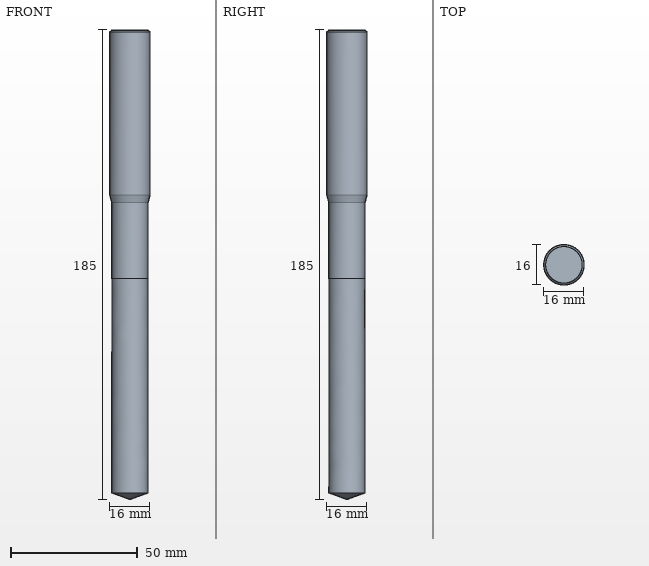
import cadquery as cq
import math

overall_length = 185.0
shank_diameter = 16.0
neck_diameter = 14.4

cutting_diameter = neck_diameter
back_taper = 0.1

shank_length = 65.0
cutting_length = 87.2
end_chamfer = 0.8

shoulder_half_angle = 15.0
point_angle = 140.0

shank_radius = shank_diameter / 2
neck_radius = neck_diameter / 2
cutting_radius = cutting_diameter / 2
joint_radius = (cutting_diameter - back_taper) / 2

shank_bottom = overall_length - shank_length
shoulder_height = (shank_radius - neck_radius) / math.tan(math.radians(shoulder_half_angle))
point_height = cutting_radius / math.tan(math.radians(point_angle / 2))


def revolve_about_z(profile):
    """Turn a closed (radius, height) outline into a solid about the Z axis."""
    return cq.Workplane("XZ").polyline(profile).close().revolve(360, (0, 0, 0), (0, 1, 0))


def make_shank():
    """Chamfered shank with a conical shoulder down to the neck."""
    return revolve_about_z([
        (0, cutting_length),
        (neck_radius, cutting_length),
        (neck_radius, shank_bottom - shoulder_height),
        (shank_radius, shank_bottom),
        (shank_radius, overall_length - end_chamfer),
        (shank_radius - end_chamfer, overall_length),
        (0, overall_length),
    ])


def make_cutting_part():
    """Back-tapered cutting length with a conical drill point."""
    return revolve_about_z([
        (0, 0),
        (cutting_radius, point_height),
        (joint_radius, cutting_length),
        (0, cutting_length),
    ])


shank = make_shank()
cutting_part = make_cutting_part()

result = cq.Compound.makeCompound([shank.val(), cutting_part.val()])